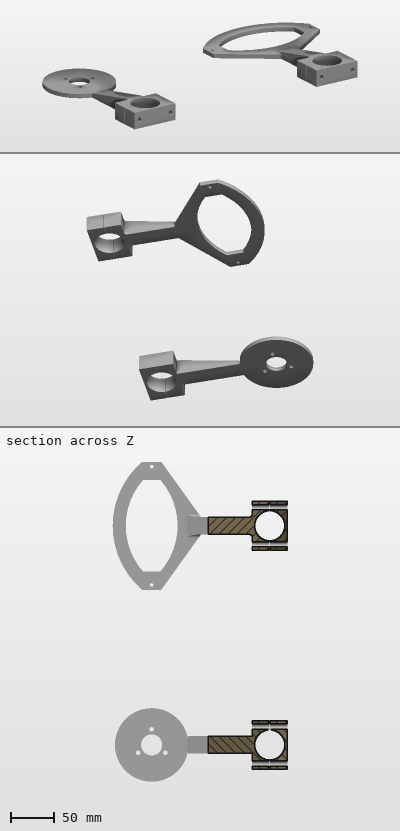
import cadquery as cq
import math

height = 20.0
clamp_half_length = 20.0
clamp_width = 56.3
split_gap = 0.5
bore_diameter = 34.0
screw_diameter = 5.5
screw_offset = 21.2

plate_thickness = 5.0
arm_width = 20.0
ramp_low_x = -93.5
ramp_high_x = -23.5
fillet_radius = 3.3

plate_x = -135.0
bracket_spacing = 250.5

frame_left_reach = 44.5
frame_half_height = 73.0
frame_tip_half_width = 11.0
frame_arm_reach = 56.3
window_half_width = 29.5
window_half_height = 52.3
window_tip_half_width = 10.0
frame_hole_diameter = 4.0
frame_hole_offset = 67.5

disc_diameter = 84.0
disc_bore_diameter = 24.0
disc_hole_diameter = 5.0
disc_hole_circle_radius = 18.0
disc_hole_count = 3
first_hole_angle = 90

arm_half_width = arm_width / 2
plate_center = (plate_x, 0)


def clamp_half(side):
    """Plain half block on the -X (side = -1) or +X (side = 1) side of the gap."""
    block_length = clamp_half_length - split_gap / 2
    block_center_x = side * (clamp_half_length + split_gap / 2) / 2
    return (
        cq.Workplane("XY")
        .center(block_center_x, 0)
        .rect(block_length, clamp_width)
        .extrude(height)
    )


def cut_clamp_holes(body):
    """Cut the bore and the two screw holes that run along X."""
    bore = cq.Workplane("XY").circle(bore_diameter / 2).extrude(height)
    screws = (
        cq.Workplane("YZ")
        .pushPoints([(-screw_offset, height / 2), (screw_offset, height / 2)])
        .circle(screw_diameter / 2)
        .extrude(clamp_half_length, both=True)
    )
    return body.cut(bore).cut(screws)


def ramp_prism(width):
    """Arm side profile, extruded symmetrically to the given width."""
    return (
        cq.Workplane("XZ")
        .moveTo(ramp_low_x, 0)
        .lineTo(-clamp_half_length, 0)
        .lineTo(-clamp_half_length, height)
        .lineTo(ramp_high_x, height)
        .lineTo(ramp_low_x, plate_thickness)
        .close()
        .extrude(width / 2, both=True)
    )


def concave_corner(plane, corner, side):
    """Fillet profile in a corner; it grows along +/- the first axis and + the second."""
    u, v = corner
    far_u = u + side * fillet_radius
    far_v = v + fillet_radius
    diagonal = fillet_radius * (1 - math.sqrt(0.5))
    return (
        cq.Workplane(plane)
        .moveTo(u, v)
        .lineTo(far_u, v)
        .threePointArc((u + side * diagonal, v + diagonal), (u, far_v))
        .close()
    )


def clamp_fillets():
    """Vertical fillets between the arm sides and the clamp face."""
    upper = concave_corner("XY", (-clamp_half_length, arm_half_width), -1).extrude(height)
    return upper.union(upper.mirror("XZ"))


def frame_outline():
    """Full-height prism with the outline of the frame plate."""
    return (
        cq.Workplane("XY")
        .center(*plate_center)
        .moveTo(frame_arm_reach, arm_half_width)
        .lineTo(frame_tip_half_width, frame_half_height)
        .lineTo(-frame_tip_half_width, frame_half_height)
        .threePointArc((-frame_left_reach, 0), (-frame_tip_half_width, -frame_half_height))
        .lineTo(frame_tip_half_width, -frame_half_height)
        .lineTo(frame_arm_reach, -arm_half_width)
        .close()
        .extrude(height)
    )


def frame_fillets():
    """Fillets from the arm sides to the plate top, ended by the ramp and the plate edge."""
    strip_length = clamp_half_length + ramp_low_x
    upper = (
        concave_corner("YZ", (arm_half_width, plate_thickness), 1)
        .extrude(strip_length)
        .translate((-clamp_half_length, 0, 0))
    )
    strips = upper.union(upper.mirror("XZ"))
    fillet_span = arm_width + 2 * fillet_radius
    return strips.intersect(ramp_prism(fillet_span)).intersect(frame_outline())


def frame_plate():
    """Flat frame with a lens-shaped window and a hole near each tip."""
    floor = cq.Workplane("XY").center(*plate_center)
    blank_size = 2 * frame_half_height
    plate = frame_outline().intersect(
        floor.rect(blank_size, blank_size).extrude(plate_thickness)
    )
    window = (
        floor.moveTo(window_tip_half_width, window_half_height)
        .lineTo(-window_tip_half_width, window_half_height)
        .threePointArc((-window_half_width, 0), (-window_tip_half_width, -window_half_height))
        .lineTo(window_tip_half_width, -window_half_height)
        .threePointArc((window_half_width, 0), (window_tip_half_width, window_half_height))
        .close()
        .extrude(plate_thickness)
    )
    holes = (
        floor.pushPoints([(0, -frame_hole_offset), (0, frame_hole_offset)])
        .circle(frame_hole_diameter / 2)
        .extrude(plate_thickness)
    )
    return plate.cut(window).cut(holes)


def disc_plate():
    """Round plate with a centre bore and a ring of small holes."""
    floor = cq.Workplane("XY").center(*plate_center)
    disc = (
        floor.circle(disc_diameter / 2)
        .circle(disc_bore_diameter / 2)
        .extrude(plate_thickness)
    )
    holes = (
        floor.polarArray(disc_hole_circle_radius, first_hole_angle, 360, disc_hole_count)
        .circle(disc_hole_diameter / 2)
        .extrude(plate_thickness)
    )
    return disc.cut(holes)


def frame_bracket():
    """Clamp half, filleted arm and frame plate as one body."""
    body = clamp_half(-1).union(ramp_prism(arm_width)).union(clamp_fillets())
    body = body.union(frame_plate()).union(frame_fillets())
    return cut_clamp_holes(body)


def disc_bracket():
    """Clamp half, plain arm and disc plate as one body."""
    body = clamp_half(-1).union(ramp_prism(arm_width)).union(disc_plate())
    return cut_clamp_holes(body).translate((0, -bracket_spacing, 0))


def clamp_cap(y):
    """Loose clamp half that closes the bore of the bracket at the given y."""
    return cut_clamp_holes(clamp_half(1)).translate((0, y, 0))


frame_body = frame_bracket()
disc_body = disc_bracket()
caps = [clamp_cap(y).val() for y in (0, -bracket_spacing)]

result = cq.Compound.makeCompound([frame_body.val(), disc_body.val(), *caps])